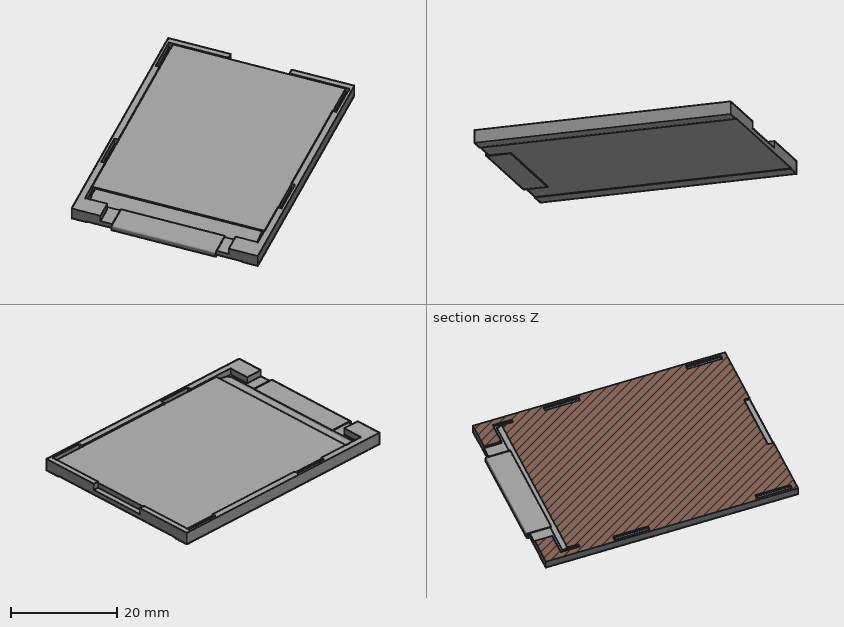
import cadquery as cq

width = 37.5
total_length = 51.8
height = 2.55
floor_z = 1.2
side_rim = 1.35
back_rim = 1.15
opening_length = 46.4
front_gap_width = 25.85
back_notch_width = 12.25
foot_width = 3.15

clip_length = 7.0
clip_wall = 0.55
second_clip_offset = 28.8

panel_length = 42.65
panel_top = 2.3
strip_width = 33.7
strip_length = 3.2
strip_top = 1.95

film = 0.15
tail_width = 21.0
tail_length = 4.35
tail_overhang = 0.65
bend_radius = 0.4
bend_thickness = 0.25

front = -total_length / 2 + tail_overhang
back = total_length / 2
inner_back = back - back_rim
panel_front = inner_back - panel_length
opening_width = width - 2 * side_rim


def block(x_size, y_min, y_max, z_min, z_max):
    """Block centred on X and bounded in Y and Z."""
    base = cq.Workplane("XY", origin=(0, (y_min + y_max) / 2, z_min))
    return base.box(x_size, y_max - y_min, z_max - z_min, centered=(True, True, False))


def extrude_across(profile, x_size):
    """Extrude a YZ profile symmetrically along X."""
    return profile.extrude(x_size / 2, both=True)


def make_frame():
    frame = block(width, front, back, 0, height)
    opening = block(opening_width, inner_back - opening_length, inner_back, floor_z, height)
    front_gap = block(front_gap_width, front, inner_back, floor_z, height)
    back_notch = block(back_notch_width, inner_back, back, floor_z, height)
    under_relief = block(width - 2 * foot_width, front, back, 0, film)
    frame = frame.cut(opening).cut(front_gap).cut(back_notch).cut(under_relief)
    for offset in (0, second_clip_offset):
        clip_back = inner_back - offset
        pockets = block(width - 2 * clip_wall, clip_back - clip_length, clip_back, floor_z, height)
        frame = frame.cut(pockets)
    return frame


def make_strip():
    """Convex strip, level at the panel and falling to the frame floor."""
    drop = strip_top - floor_z
    arc_radius = (strip_length**2 + drop**2) / (2 * drop)
    mid_y = panel_front - strip_length / 2
    mid_z = strip_top - arc_radius + (arc_radius**2 - (strip_length / 2) ** 2) ** 0.5
    profile = (
        cq.Workplane("YZ")
        .moveTo(panel_front, floor_z)
        .lineTo(panel_front, strip_top)
        .threePointArc((mid_y, mid_z), (panel_front - strip_length, floor_z))
        .close()
    )
    return extrude_across(profile, strip_width)


def make_tail():
    """U-shaped film lying on the floor, around the front and under the frame, thicker at the bend."""
    tail_front = front - tail_overhang
    tail_back = front + tail_length
    outer = block(tail_width, tail_front, tail_back, 0, floor_z + film)
    outer = outer.edges("|X and <Y").fillet(bend_radius)
    gap = block(tail_width, front, tail_back, film, floor_z)
    hollow = block(tail_width, tail_front + bend_thickness, front, bend_thickness,
                   floor_z + film - bend_thickness)
    hollow = hollow.edges("|X and <Y").fillet(bend_radius - bend_thickness)
    return outer.cut(gap).cut(hollow)


panel = block(opening_width, panel_front, inner_back, floor_z, panel_top)
result = make_frame().union(panel).union(make_strip()).union(make_tail())